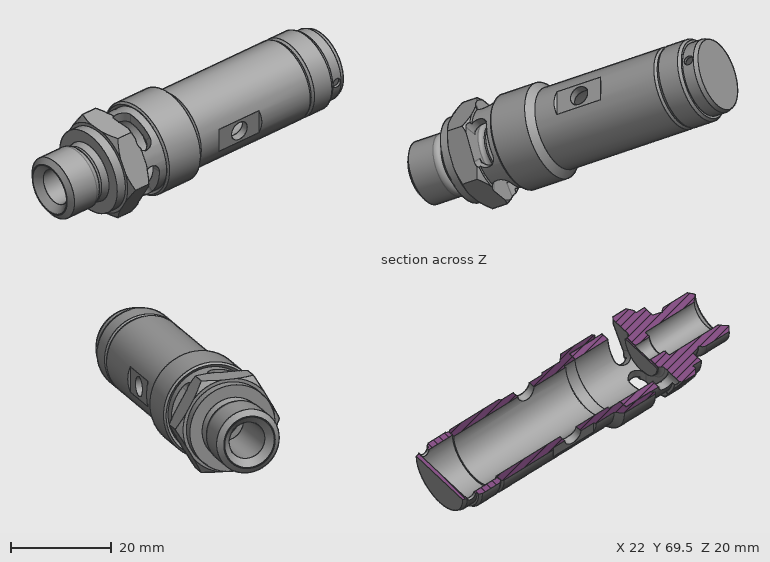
import cadquery as cq
import math

total_length = 69.5
bore_radius = 6.6
cage_bore_radius = 7.0
cross_hole_diameter = 4.0

nose_radius = 6.6
nose_tip_radius = 5.4
nose_chamfer_length = 0.9
nose_length = 6.7
neck_radius = 5.7
neck_fillet = 1.4
neck_y = 8.0
neck_flare_y = 8.4
neck_flare_radius = 6.0
flange_y = 9.95
flange_foot_radius = 6.4
cage_radius = 9.0
hex_front_y = 12.0
hex_rear_y = 17.3
hex_across_flats = 19.05
hex_chamfer_radius = 9.65
hex_chamfer_angle = 35.0
inlet_mouth_radius = 5.2
inlet_radius = 3.75
inlet_cone_length = 1.45
inlet_depth = 13.9
seat_hole_radius = 2.3
seat_hole_chamfer = 0.2
cage_floor_y = 16.8
seat_radius = 5.0
seat_y = 17.7
seat_fillet = seat_y - cage_floor_y
slot_width = 3.95
slot_count = 4
slot_sweep_angle = 42.0
cage_joint_y = 29.2

disc_thickness = 0.35

collar_front_y = 22.1
collar_radius = 10.0
collar_front_chamfer = 0.4
countersink_depth = 0.6
relief_bore_end_y = 31.9
collar_rear_y = 30.45
sleeve_start_y = 31.9
sleeve_radius = 8.55
joint_y = 60.45
joint_chamfer_length = 0.55
joint_chamfer_depth = 0.35
cross_hole_y = 42.05
flat_half_width = 8.1
flat_front_y = 36.85
flat_rear_y = 47.05

cap_shoulder_y = 66.1
cap_shoulder_chamfer_length = 0.6
cap_shoulder_chamfer_depth = 0.4
cap_neck_radius = 7.65
cap_tip_chamfer_length = 0.9
cap_tip_chamfer_depth = 0.35
cap_bore_radius = 7.0
cap_wall = 0.9
pin_hole_diameter = 2.0
pin_hole_y = 67.5


def turned(points):
    """Revolve a (radius, y) outline about the Y axis."""
    return cq.Workplane("XY").polyline(points).close().revolve(360, (0, 0, 0), (0, 1, 0))


def rod(radius, y_start, y_end):
    return cq.Workplane("XZ", origin=(0, y_start, 0)).circle(radius).extrude(y_start - y_end)


def cross_hole(diameter, y):
    reach = 2 * collar_radius
    return cq.Workplane("YZ", origin=(-reach, y, 0)).circle(diameter / 2).extrude(2 * reach)


def hexagon():
    corner_diameter = hex_across_flats / math.cos(math.pi / 6)
    length = hex_rear_y - hex_front_y
    prism = (
        cq.Workplane("XZ", origin=(0, hex_front_y, 0))
        .polygon(6, corner_diameter)
        .extrude(-length)
    )
    corner_radius = corner_diameter / 2
    drop = (corner_radius - hex_chamfer_radius) * math.tan(math.radians(hex_chamfer_angle))
    envelope = turned([
        (0, hex_front_y),
        (hex_chamfer_radius, hex_front_y),
        (corner_radius, hex_front_y + drop),
        (corner_radius, hex_rear_y - drop),
        (hex_chamfer_radius, hex_rear_y),
        (0, hex_rear_y),
    ])
    return prism.intersect(envelope)


def cage_slot(start_angle):
    """Round-ended slot through the cage wall, swept about the Y axis."""
    reach = hex_across_flats
    slot_y = cage_floor_y + slot_width / 2
    inner_x = cage_bore_radius / 2
    middle_x = inner_x + reach / 2
    hole = cq.Workplane("YZ", origin=(-inner_x, slot_y, 0)).circle(slot_width / 2).extrude(-reach)
    axis = ((0, 0, 0), (0, 1, 0))
    sweep = (
        cq.Workplane("XY")
        .center(-middle_x, slot_y)
        .rect(reach, slot_width)
        .revolve(slot_sweep_angle, (middle_x, 0, 0), (middle_x, 1, 0))
    )
    slot = sweep.union(hole).union(hole.rotate(*axis, slot_sweep_angle))
    return slot.rotate(*axis, start_angle)


def valve_seat():
    """Raised seat on the cage floor with a concave fillet at its foot."""
    foot_radius = seat_radius + seat_fillet
    root_y = cage_floor_y - 0.7
    return (
        cq.Workplane("XY")
        .moveTo(0, root_y)
        .lineTo(foot_radius, root_y)
        .lineTo(foot_radius, cage_floor_y)
        .radiusArc((seat_radius, seat_y), seat_fillet)
        .lineTo(0, seat_y)
        .close()
        .revolve(360, (0, 0, 0), (0, 1, 0))
    )


def build_fitting():
    profile = (
        cq.Workplane("XY")
        .lineTo(nose_tip_radius, 0)
        .lineTo(nose_radius, nose_chamfer_length)
        .lineTo(nose_radius, nose_length)
        .radiusArc((neck_radius, neck_y), -neck_fillet)
        .lineTo(neck_flare_radius, neck_flare_y)
        .lineTo(flange_foot_radius, flange_y)
        .lineTo(cage_radius, flange_y)
        .lineTo(cage_radius, cage_joint_y)
        .lineTo(0, cage_joint_y)
        .close()
    )
    body = profile.revolve(360, (0, 0, 0), (0, 1, 0)).union(hexagon())
    body = body.cut(rod(cage_bore_radius, cage_floor_y, cage_joint_y))
    for i in range(slot_count):
        body = body.cut(cage_slot(i * 360 / slot_count))
    body = body.union(valve_seat())
    inlet = turned([
        (0, 0),
        (inlet_mouth_radius, 0),
        (inlet_radius, inlet_cone_length),
        (inlet_radius, inlet_depth),
        (seat_hole_radius + seat_hole_chamfer, inlet_depth),
        (seat_hole_radius, inlet_depth + seat_hole_chamfer),
        (seat_hole_radius, seat_y),
        (0, seat_y),
    ])
    return body.cut(inlet)


def build_disc():
    return rod(seat_radius, seat_y, seat_y + disc_thickness)


def build_sleeve():
    lip_radius = collar_radius - collar_front_chamfer
    body = turned([
        (bore_radius, collar_front_y),
        (lip_radius, collar_front_y),
        (collar_radius, collar_front_y + collar_front_chamfer),
        (collar_radius, collar_rear_y),
        (sleeve_radius, sleeve_start_y),
        (sleeve_radius, joint_y - joint_chamfer_length),
        (sleeve_radius - joint_chamfer_depth, joint_y),
        (bore_radius, joint_y),
    ])
    body = body.cut(rod(cage_radius, collar_front_y, cage_joint_y))
    body = body.cut(turned([
        (0, collar_front_y),
        (lip_radius, collar_front_y),
        (cage_radius, collar_front_y + countersink_depth),
        (0, collar_front_y + countersink_depth),
    ]))
    body = body.cut(rod(cage_bore_radius, cage_joint_y, relief_bore_end_y))
    slope = sleeve_radius - flat_half_width
    for side in (-1, 1):
        flat = (
            cq.Workplane("XY", origin=(0, 0, -sleeve_radius))
            .polyline([
                (side * flat_half_width, flat_front_y),
                (side * sleeve_radius, flat_front_y - slope),
                (side * sleeve_radius, flat_rear_y + slope),
                (side * flat_half_width, flat_rear_y),
            ])
            .close()
            .extrude(2 * sleeve_radius)
        )
        body = body.cut(flat)
    return body.cut(cross_hole(cross_hole_diameter, cross_hole_y))


def build_cap():
    body = turned([
        (0, joint_y),
        (sleeve_radius - joint_chamfer_depth, joint_y),
        (sleeve_radius, joint_y + joint_chamfer_length),
        (sleeve_radius, cap_shoulder_y - cap_shoulder_chamfer_length),
        (sleeve_radius - cap_shoulder_chamfer_depth, cap_shoulder_y),
        (cap_neck_radius, cap_shoulder_y),
        (cap_neck_radius, total_length - cap_tip_chamfer_length),
        (cap_neck_radius - cap_tip_chamfer_depth, total_length),
        (0, total_length),
    ])
    body = body.cut(rod(cap_bore_radius, joint_y, total_length - cap_wall))
    return body.cut(cross_hole(pin_hole_diameter, pin_hole_y))


fitting = build_fitting()
disc = build_disc()
sleeve = build_sleeve()
cap = build_cap()
result = cq.Compound.makeCompound([fitting.val(), disc.val(), sleeve.val(), cap.val()])